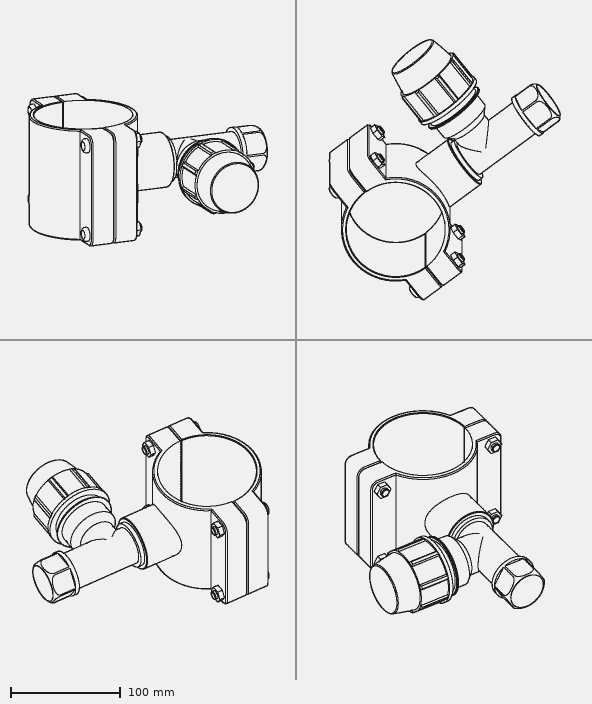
import cadquery as cq
import math


clamp_height = 105.0
bore_radius = 45.0
ring_radius = 49.5
lug_reach = 70.5
lug_thickness = 22.8
lug_corner_radius = 7.7
edge_chamfer = 1.1
bore_chamfer = 0.7

bolt_x = 60.0
bolt_z = 42.1
bolt_diameter = 8.0
bolt_end_y = 30.5
bolt_end_chamfer = 0.7
bolt_head_diameter = 13.0
bolt_head_height = 4.0
bolt_head_fillet = 2.7
bolt_nut_flats = 13.0
bolt_nut_height = 5.0

tee_diameter = 35.1
tee_top_y = 175.7
collar_diameter = 50.7
collar_top_y = 79.8
collar_chamfer = 0.7
shoulder_diameter = 42.8
shoulder_height = 4.0
cap_flats = 37.9
cap_hex_height = 22.0
cap_fillet = 6.0
port_diameter = 32.0

branch_y = 102.7
flare_start = 24.3
flare_end = 31.0
socket_diameter = 48.0
lip_start = 46.0
lip_width = 1.5
lip_chamfer = 0.7
lip_diameter = 57.7
neck_diameter = 51.1
flange_start = 54.0
flange_width = 3.5
flange_diameter = 64.0
nut_radius = 30.0
nut_end = 87.0
dome_start_radius = 28.0
dome_bulge = 0.2
branch_end = 109.0
end_chamfer = 1.0
rib_count = 8
rib_base_width = 5.5
rib_tip_width = 3.0
rib_base_radius = 29.7
rib_tip_radius = 31.5
rib_end_chamfer = 1.4


def disc_along_y(diameter, y_start, y_end):
    """Cylinder on the tee axis between two Y positions."""
    return (
        cq.Workplane("XZ", origin=(0, y_start, 0))
        .circle(diameter / 2)
        .extrude(y_start - y_end)
    )


def hexagon_along_y(flats, y_start, height):
    """Hexagonal prism on the Y axis with two corners on the X axis."""
    corner_diameter = flats / math.cos(math.pi / 6)
    return (
        cq.Workplane("XZ", origin=(0, y_start, 0))
        .polygon(6, corner_diameter)
        .extrude(-height)
    )


def straight_bore():
    """Cutter for the pipe."""
    return cq.Workplane("XY").cylinder(clamp_height, bore_radius)


def flared_bore():
    """Cutter for the pipe that is bevelled outwards at both clamp ends."""
    half_height = clamp_height / 2
    flare_radius = bore_radius + bore_chamfer
    return (
        cq.Workplane("XZ")
        .moveTo(0, -half_height)
        .lineTo(flare_radius, -half_height)
        .lineTo(bore_radius, bore_chamfer - half_height)
        .lineTo(bore_radius, half_height - bore_chamfer)
        .lineTo(flare_radius, half_height)
        .lineTo(0, half_height)
        .close()
        .revolve(360, (0, 0, 0), (0, 1, 0))
    )


def solid_half():
    """Half cylinder with two lugs on the +Y side, before the pipe bore is cut."""
    half_space = cq.Workplane("XY").box(
        2 * lug_reach, ring_radius, clamp_height, centered=(True, False, True)
    )
    barrel = (
        cq.Workplane("XY")
        .cylinder(clamp_height, ring_radius)
        .faces("|Z")
        .chamfer(edge_chamfer)
        .intersect(half_space)
    )
    lugs = (
        cq.Workplane("XY")
        .box(2 * lug_reach, lug_thickness, clamp_height, centered=(True, False, True))
        .edges("|Y")
        .fillet(lug_corner_radius)
        .faces(">Y")
        .chamfer(edge_chamfer)
    )
    return barrel.union(lugs)


def clamp():
    """Both clamp halves, touching on the XZ plane with a V groove around the joint."""
    upper = solid_half().faces("<Y").chamfer(edge_chamfer)
    lower = solid_half().mirror("XZ").cut(flared_bore())
    lower = lower.faces(">Y").chamfer(edge_chamfer)
    return upper.union(lower)


def clamp_bolt(x, z):
    """Bolt with a rounded head below the lugs and a hexagon nut above them."""
    head_y = -lug_thickness - bolt_head_height
    shank = disc_along_y(bolt_diameter, head_y, bolt_end_y)
    shank = shank.faces(">Y").chamfer(bolt_end_chamfer)
    head = disc_along_y(bolt_head_diameter, head_y, -lug_thickness)
    head = head.faces("<Y").edges().fillet(bolt_head_fillet)
    nut = hexagon_along_y(bolt_nut_flats, lug_thickness, bolt_nut_height)
    return shank.union(head).union(nut).translate((x, 0, z))


def tee_body():
    """Collar, shoulder, stem and hexagon cap stacked along +Y from the clamp."""
    cap_y = tee_top_y - cap_hex_height
    collar = disc_along_y(collar_diameter, 0, collar_top_y)
    collar = collar.faces(">Y").chamfer(collar_chamfer)
    shoulder = disc_along_y(shoulder_diameter, 0, collar_top_y + shoulder_height)
    stem = disc_along_y(tee_diameter, 0, tee_top_y)
    cap_ring = disc_along_y(shoulder_diameter, cap_y - shoulder_height, cap_y)
    cap_dome = disc_along_y(shoulder_diameter, cap_y, tee_top_y)
    cap_dome = cap_dome.faces(">Y").edges().fillet(cap_fillet)
    cap_hexagon = hexagon_along_y(cap_flats, cap_y, cap_hex_height).intersect(cap_dome)
    body = collar.union(shoulder).union(stem)
    return body.union(cap_ring).union(cap_hexagon)


def branch():
    """Turned profile of the side branch with the ribs of its compression nut."""
    tee_radius = tee_diameter / 2
    socket_radius = socket_diameter / 2
    lip_end = lip_start + lip_width
    flange_end = flange_start + flange_width
    dome_end = branch_end - end_chamfer
    dome_middle = (
        (nut_end + dome_end) / 2,
        (dome_start_radius + socket_radius) / 2 + dome_bulge,
    )
    turned = (
        cq.Workplane("XY")
        .lineTo(0, tee_radius)
        .lineTo(flare_start, tee_radius)
        .lineTo(flare_end, socket_radius)
        .lineTo(lip_start, socket_radius)
        .lineTo(lip_start, lip_diameter / 2)
        .lineTo(lip_end - lip_chamfer, lip_diameter / 2)
        .lineTo(lip_end, lip_diameter / 2 - lip_chamfer)
        .lineTo(lip_end, neck_diameter / 2)
        .lineTo(flange_start, neck_diameter / 2)
        .lineTo(flange_start, flange_diameter / 2)
        .lineTo(flange_end, flange_diameter / 2)
        .lineTo(flange_end, nut_radius)
        .lineTo(nut_end, nut_radius)
        .lineTo(nut_end, dome_start_radius)
        .threePointArc(dome_middle, (dome_end, socket_radius))
        .lineTo(branch_end, socket_radius - end_chamfer)
        .lineTo(branch_end, 0)
        .close()
        .revolve(360, (0, 0, 0), (1, 0, 0))
    )
    rib = (
        cq.Workplane("YZ", origin=(flange_start, 0, 0))
        .lineTo(rib_base_width / 2, 0)
        .lineTo(rib_base_width / 2, rib_base_radius)
        .lineTo(rib_tip_width / 2, rib_tip_radius)
        .lineTo(0, rib_tip_radius)
        .mirrorY()
        .extrude(nut_end - flange_start)
        .faces(">X")
        .edges(">Z")
        .chamfer(rib_end_chamfer)
    )
    pitch = 360 / rib_count
    for index in range(rib_count):
        turned = turned.union(rib.rotate((0, 0, 0), (1, 0, 0), (index + 0.5) * pitch))
    return turned.translate((0, branch_y, 0))


result = clamp().union(tee_body()).union(branch())
result = result.cut(straight_bore())
result = result.cut(disc_along_y(port_diameter, 0, branch_y))
for x in (-bolt_x, bolt_x):
    for z in (-bolt_z, bolt_z):
        result = result.union(clamp_bolt(x, z))